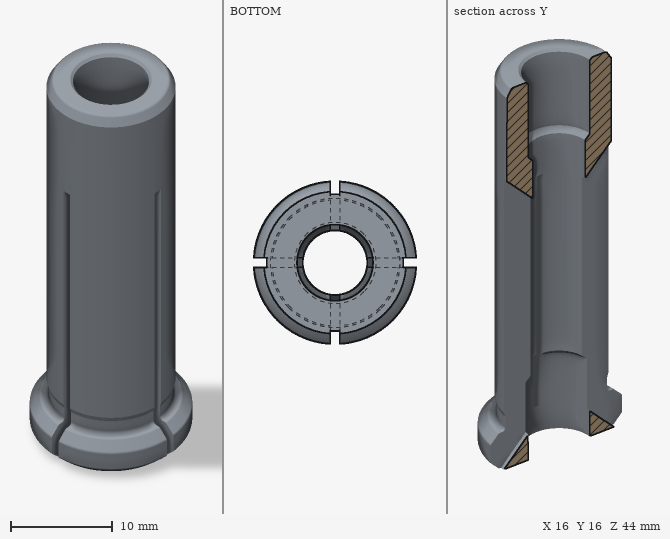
import cadquery as cq

length = 44.0
flange_radius = 16.0 / 2
shaft_radius = 12.7 / 2

tip_chamfer_length = 0.95
tip_chamfer_depth = 0.6
tip_blend = 0.35
neck_radius = 6.2
neck_top = 5.7
relief_taper_length = 0.55
neck_fillet = 0.4

flange_height = 4.1
flange_chamfer = 1.0
flange_blend = 0.25

wide_bore_radius = 7.5 / 2
narrow_bore_radius = 6.35 / 2
wide_bore_depth = 8.8
bore_step = wide_bore_radius - narrow_bore_radius
mouth_chamfer = 0.25

slot_width = 0.92
slot_top = 33.35
slot_bottom_radius = 6.75
slot_count = 4


def blend_circle(body, radius, height, blend):
    """Round the circular edge with the given radius and height."""
    tolerance = 0.005
    matches = []
    for edge in body.edges("%CIRCLE").vals():
        same_radius = abs(edge.radius() - radius) < tolerance
        same_height = abs(edge.Center().z - height) < tolerance
        if same_radius and same_height:
            matches.append(edge)
    return body.newObject(matches).fillet(blend)


def revolve_profile(points):
    """Turn a radius-height outline around the Z axis."""
    return cq.Workplane("XZ").polyline(points).close().revolve(360, (0, 0, 0), (0, 1, 0))


def make_outside():
    flange_face_radius = flange_radius - flange_chamfer
    flange_shoulder = flange_height - flange_chamfer
    tip_radius = shaft_radius - tip_chamfer_depth
    body = revolve_profile([
        (0, 0),
        (flange_face_radius, 0),
        (flange_radius, flange_chamfer),
        (flange_radius, flange_shoulder),
        (flange_face_radius, flange_height),
        (neck_radius, flange_height),
        (neck_radius, neck_top),
        (shaft_radius, neck_top + relief_taper_length),
        (shaft_radius, length - tip_chamfer_length),
        (tip_radius, length),
        (0, length),
    ])
    body = blend_circle(body, neck_radius, flange_height, neck_fillet)
    body = blend_circle(body, flange_radius, flange_chamfer, flange_blend)
    body = blend_circle(body, flange_radius, flange_shoulder, flange_blend)
    body = blend_circle(body, flange_face_radius, flange_height, flange_blend)
    return blend_circle(body, tip_radius, length, tip_blend)


def make_bore():
    upper_step = length - wide_bore_depth
    return revolve_profile([
        (0, 0),
        (wide_bore_radius, 0),
        (wide_bore_radius, wide_bore_depth),
        (narrow_bore_radius, wide_bore_depth + bore_step),
        (narrow_bore_radius, upper_step - bore_step),
        (wide_bore_radius, upper_step),
        (wide_bore_radius, length - mouth_chamfer),
        (wide_bore_radius + mouth_chamfer, length),
        (0, length),
    ])


def make_slot():
    """One radial slot along +X, starting on the axis."""
    return (
        cq.Workplane("XZ")
        .moveTo(0, slot_bottom_radius)
        .lineTo(slot_bottom_radius, 0)
        .lineTo(flange_radius, 0)
        .lineTo(flange_radius, slot_top)
        .lineTo(shaft_radius, slot_top)
        .lineTo(0, slot_top - shaft_radius)
        .close()
        .extrude(slot_width / 2, both=True)
    )


result = make_outside().cut(make_bore())
for index in range(slot_count):
    angle = index * 360 / slot_count
    result = result.cut(make_slot().rotate((0, 0, 0), (0, 0, 1), angle))